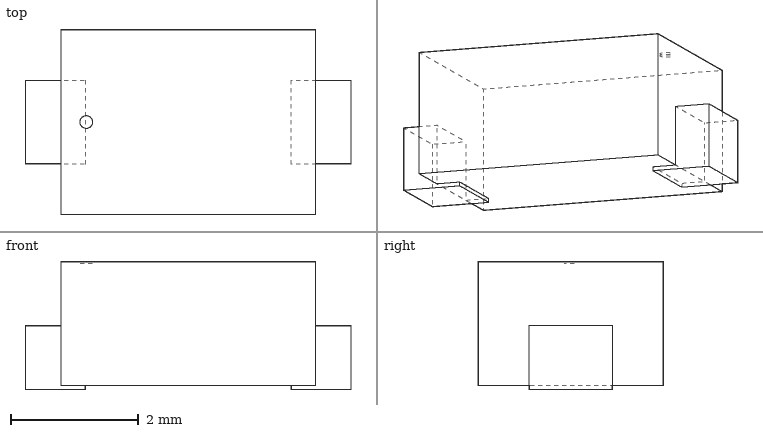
import cadquery as cq

overall_length = 5.11
overall_height = 2.01

housing_length = 3.995
housing_width = 2.9
standoff = 0.06

lead_width = 1.31
lead_height = 1.0
foot_length = 0.94

mark_diameter = 0.2
mark_depth = 0.03
mark_x = -1.6

lead_projection = (overall_length - housing_length) / 2


def make_mark():
    """Thin disc whose upper face is level with the housing top."""
    return (
        cq.Workplane("XY", origin=(mark_x, 0, overall_height - mark_depth))
        .circle(mark_diameter / 2)
        .extrude(mark_depth)
    )


def make_housing(mark):
    """Rectangular block with a recess that fits the polarity mark."""
    block = (
        cq.Workplane("XY", origin=(0, 0, standoff))
        .rect(housing_length, housing_width)
        .extrude(overall_height - standoff)
    )
    return block.cut(mark)


def make_lead(side):
    """L-shaped lead at the -X end (side = -1) or the +X end (side = 1)."""
    outer_x = side * overall_length / 2
    inner_x = outer_x - side * lead_projection
    toe_x = outer_x - side * foot_length
    return (
        cq.Workplane("XZ")
        .moveTo(outer_x, 0)
        .lineTo(outer_x, lead_height)
        .lineTo(inner_x, lead_height)
        .lineTo(inner_x, standoff)
        .lineTo(toe_x, standoff)
        .lineTo(toe_x, 0)
        .close()
        .extrude(lead_width / 2, both=True)
    )


mark = make_mark()
housing = make_housing(mark)
leads = [make_lead(side) for side in (-1, 1)]

result = cq.Compound.makeCompound([housing.val(), mark.val(), *[lead.val() for lead in leads]])